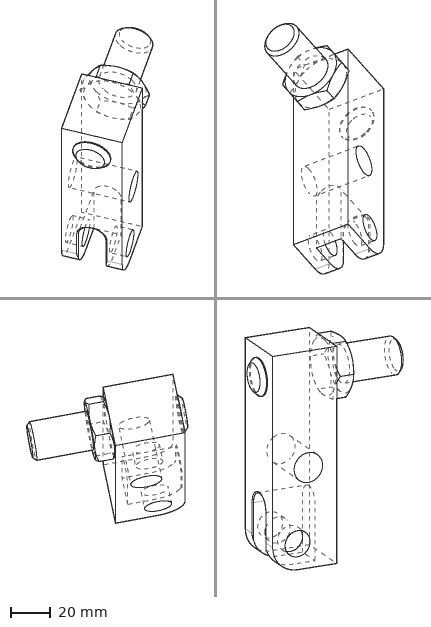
import cadquery as cq
import math

body_width = 32.0
body_depth = 36.0
body_height = 116.5
corner_radius = 14.0

lower_hole_diameter = 14.0
upper_hole_diameter = 16.0
upper_hole_from_back = 16.0
upper_hole_height = 53.9

slot_width = 14.5
slot_mouth_width = 16.0
slot_arc_height = 30.8
slot_mouth_depth = 0.41
slot_depth = 2 * corner_radius

pin_diameter = 20.0
pin_height = body_height - 16.0
pin_length = 31.0
pin_chamfer = 1.7
head_length = 3.0
head_chamfer = 2.5
nut_thickness = 10.0
nut_across_flats = 30.0
nut_chamfer_angle = math.radians(30)


def make_body():
    """Block with its lower front edge rounded."""
    block = cq.Workplane("XY").box(
        body_width, body_depth, body_height, centered=(True, False, False)
    )
    return block.edges("<Y and <Z").fillet(corner_radius)


def cross_hole(y, z, diameter):
    """Cylinder through the full body width."""
    start = cq.Workplane("YZ", origin=(-body_width / 2, y, z))
    return start.circle(diameter / 2).extrude(body_width)


def slot_profile(width, y):
    """Round-topped slot outline at depth y behind the front face."""
    half = width / 2
    return (
        cq.Workplane("XZ", origin=(0, y, 0))
        .moveTo(-half, 0)
        .lineTo(-half, slot_arc_height)
        .threePointArc((0, slot_arc_height + half), (half, slot_arc_height))
        .lineTo(half, 0)
        .close()
    )


def make_slot():
    """Slot with a shallow flare at its mouth."""
    straight = slot_profile(slot_width, 0).extrude(-slot_depth)
    mouth = slot_profile(slot_mouth_width, 0).wires().val()
    throat = slot_profile(slot_width, slot_mouth_depth).wires().val()
    flare = cq.Solid.makeLoft([mouth, throat], True)
    return straight.union(flare)


def make_pin():
    """Pin through the body, chamfered at both ends."""
    length = head_length + body_depth + nut_thickness + pin_length
    pin = (
        cq.Workplane("XZ", origin=(0, -head_length, pin_height))
        .circle(pin_diameter / 2)
        .extrude(-length)
    )
    pin = pin.faces("<Y").chamfer(head_chamfer)
    return pin.faces(">Y").chamfer(pin_chamfer)


def make_nut():
    """Hexagon nut with corners toward +X and -X and both faces chamfered."""
    corner_diameter = nut_across_flats / math.cos(math.pi / 6)
    face_radius = nut_across_flats / 2
    corner_radius_outer = corner_diameter / 2
    chamfer_drop = (corner_radius_outer - face_radius) * math.tan(nut_chamfer_angle)
    hexagon = (
        cq.Workplane("XZ", origin=(0, body_depth, pin_height))
        .polygon(6, corner_diameter)
        .extrude(-nut_thickness)
    )
    envelope = (
        cq.Workplane("XY", origin=(0, body_depth, pin_height))
        .polyline([
            (0, 0),
            (face_radius, 0),
            (corner_radius_outer, chamfer_drop),
            (corner_radius_outer, nut_thickness - chamfer_drop),
            (face_radius, nut_thickness),
            (0, nut_thickness),
        ])
        .close()
        .revolve(360, (0, 0, 0), (0, 1, 0))
    )
    return hexagon.intersect(envelope)


lower_hole = cross_hole(corner_radius, corner_radius, lower_hole_diameter)
upper_hole = cross_hole(body_depth - upper_hole_from_back, upper_hole_height, upper_hole_diameter)

body = make_body().cut(make_slot()).cut(lower_hole).cut(upper_hole)
result = body.union(make_pin()).union(make_nut())